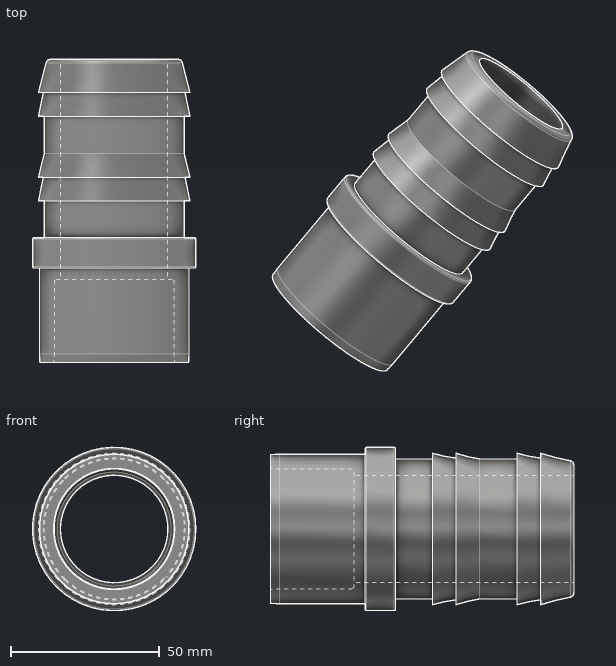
import cadquery as cq

LENGTH = 102.0

SPIGOT_RADIUS = 25.2
SPIGOT_TIP_RADIUS = 50.1 / 2
SPIGOT_TAPER_LENGTH = 3.0

COLLAR_RADIUS = 55.0 / 2
COLLAR_START = 31.8
COLLAR_WIDTH = 10.2
COLLAR_END = COLLAR_START + COLLAR_WIDTH
COLLAR_ROUND = 0.5

TAIL_RADIUS = 47.1 / 2
BARB_RADIUS = 25.5
BARB_ROOT_RADIUS = 23.9
BARB_LENGTH = 8.0
LOWER_PAIR_START = 54.4
UPPER_PAIR_START = 82.8
NOSE_RADIUS = 22.6
NOSE_ROUND = 1.6

BORE_RADIUS = 36.0 / 2
SOCKET_RADIUS = 40.3 / 2
SOCKET_DEPTH = 28.0
SOCKET_FLOOR_ROUND = 1.0
MOUTH_RADIUS = 20.4
MOUTH_TAPER_LENGTH = 2.0

AXIS_START = (0, 0, 0)
AXIS_END = (0, 1, 0)


def cone(start_radius, end_radius, start, end):
    """Solid truncated cone along Y between two positions."""
    outline = cq.Workplane("XY").polyline([(0, start), (start_radius, start), (end_radius, end), (0, end)])
    return outline.close().revolve(360, AXIS_START, AXIS_END)


def cylinder(radius, start, end):
    """Solid cylinder along Y between two positions."""
    return cone(radius, radius, start, end)


def spigot():
    tip = cone(SPIGOT_TIP_RADIUS, SPIGOT_RADIUS, 0, SPIGOT_TAPER_LENGTH)
    return tip.union(cylinder(SPIGOT_RADIUS, SPIGOT_TAPER_LENGTH, COLLAR_START))


def collar():
    return cylinder(COLLAR_RADIUS, COLLAR_START, COLLAR_END).edges("%CIRCLE").fillet(COLLAR_ROUND)


def barb_pair(start, end, end_radius):
    """Two saw-tooth barbs with flat faces toward the collar; the second slopes down to the end."""
    middle = start + BARB_LENGTH
    first_barb = cone(BARB_RADIUS, BARB_ROOT_RADIUS, start, middle)
    return first_barb.union(cone(BARB_RADIUS, end_radius, middle, end))


def hose_tail():
    stem = cylinder(TAIL_RADIUS, COLLAR_END, UPPER_PAIR_START)
    lower_pair = barb_pair(LOWER_PAIR_START, LOWER_PAIR_START + 2 * BARB_LENGTH, TAIL_RADIUS)
    nose_pair = barb_pair(UPPER_PAIR_START, LENGTH, NOSE_RADIUS).faces(">Y").edges().fillet(NOSE_ROUND)
    return stem.union(lower_pair).union(nose_pair)


def bore():
    socket = cylinder(SOCKET_RADIUS, 0, SOCKET_DEPTH).faces(">Y").edges().fillet(SOCKET_FLOOR_ROUND)
    mouth = cone(MOUTH_RADIUS, SOCKET_RADIUS, 0, MOUTH_TAPER_LENGTH)
    return cylinder(BORE_RADIUS, 0, LENGTH).union(socket).union(mouth)


result = spigot().union(collar()).union(hose_tail()).cut(bore())